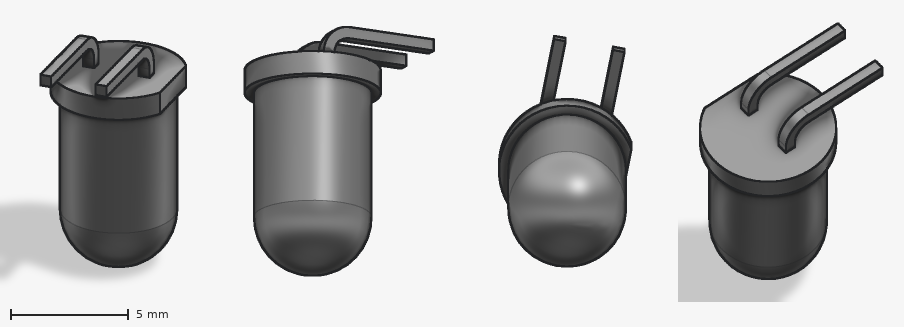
import cadquery as cq

lens_radius = 2.5
lens_straight_length = 5.5

flange_radius = 2.9
flange_thickness = 1.0

lead_width = 0.5
lead_spacing = 2.55
lead_stub_height = 0.4
bend_inner_radius = 0.75
bend_outer_radius = bend_inner_radius + lead_width
lead_reach = 5.01

flange_top = flange_thickness
bend_start = flange_top + lead_stub_height
lead_top = bend_start + bend_outer_radius


def make_lens():
    """Cylinder with its lower end rounded into a full hemisphere."""
    return (
        cq.Workplane("XZ")
        .lineTo(lens_radius, 0)
        .lineTo(lens_radius, -lens_straight_length)
        .radiusArc((0, -lens_straight_length - lens_radius), lens_radius)
        .close()
        .revolve(360, (0, 0, 0), (0, 1, 0))
    )


def make_flange():
    """Disc cut off flat on the +X side."""
    disc = cq.Workplane("XY").circle(flange_radius).extrude(flange_thickness)
    flat_keep = (
        cq.Workplane("XY")
        .box(2 * flange_radius, 2 * flange_radius, flange_thickness, centered=(True, True, False))
        .translate((lens_radius - flange_radius, 0, 0))
    )
    return disc.intersect(flat_keep)


def make_lead(x_center):
    """Square wire with a right-angle bend, drawn in the YZ plane."""
    front = -lead_width / 2
    back = lead_width / 2
    bend_end = back - bend_outer_radius
    return (
        cq.Workplane("YZ", origin=(x_center, 0, 0))
        .moveTo(front, flange_top)
        .lineTo(back, flange_top)
        .lineTo(back, bend_start)
        .radiusArc((bend_end, lead_top), -bend_outer_radius)
        .lineTo(-lead_reach, lead_top)
        .lineTo(-lead_reach, lead_top - lead_width)
        .lineTo(bend_end, lead_top - lead_width)
        .radiusArc((front, bend_start), bend_inner_radius)
        .close()
        .extrude(lead_width / 2, both=True)
    )


result = make_lens().union(make_flange())
for side in (-1, 1):
    result = result.union(make_lead(side * lead_spacing / 2))